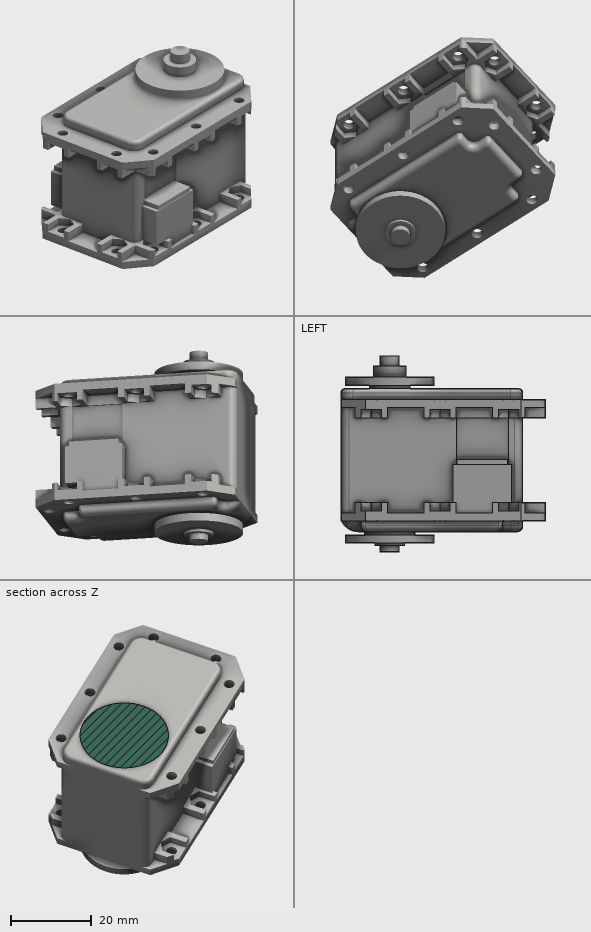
import cadquery as cq
import math


CASE_WIDTH = 24.35
CASE_LENGTH = 44.95
CASE_BACK = 12.05
CASE_FRONT = CASE_BACK - CASE_LENGTH
CASE_CORNER = 2.0

FLANGE_WIDTH = 35.6
FLANGE_LENGTH = 50.6
FLANGE_FRONT = CASE_BACK - FLANGE_LENGTH
FLANGE_CHAMFER_X = 5.14
FLANGE_CHAMFER_Y = 6.0
FLANGE_OUTER_Z = 15.0
PLATE_INNER_Z = 13.0
RIM_INNER_Z = 10.5

HOLE_DIAMETER = 2.7
HOLE_EDGE = 2.75
HOLE_PITCH = 17.0
FIRST_HOLE_FROM_BACK = 7.5
FIRST_HOLE_Y = CASE_BACK - FIRST_HOLE_FROM_BACK
SIDE_HOLE_COUNT = 3
NUT_FLATS = 5.0
NUT_DEPTH = 2.0
RIB_WALL = 1.5
BOSS_HALF = NUT_FLATS / 2 + RIB_WALL
SIDE_HOLE_X = FLANGE_WIDTH / 2 - HOLE_EDGE
FRONT_HOLE_Y = FLANGE_FRONT + HOLE_EDGE
FRONT_HOLE_X = HOLE_PITCH / 2
SIDE_HOLE_YS = [FIRST_HOLE_Y - i * HOLE_PITCH for i in range(SIDE_HOLE_COUNT)]
WINDOW_WIDTH = HOLE_PITCH - 2 * BOSS_HALF

COVER_Z = 17.7
UPPER_COVER_CORNER = 3.0
UPPER_COVER_EDGE = 1.0
LOWER_COVER_EDGE = 1.5
LOWER_COVER_BACK_ROUND = 5.0
LOWER_COVER_FLAT_BACK = 7.5
NOTCH_SIZE = 5.0
NOTCH_INNER_ROUND = 2.0
NOTCH_OUTER_ROUND = 1.0

CONNECTOR_Y = -22.95
CONNECTOR_LENGTH = 14.5
CONNECTOR_HALF_WIDTH = 16.75
CONNECTOR_TOP = -1.0
CONNECTOR_STEP_LENGTH = 12.5
CONNECTOR_STEP_INSET = 0.15
CONNECTOR_STEP_TOP = 0.2
RELIEF_LENGTH = 12.8
RELIEF_DEPTH = 0.6

HORN_DIAMETER = 22.0
SHAFT_DIAMETER = 4.7
UPPER_STACK = [(10.1, 18.5), (HORN_DIAMETER, 20.55), (8.1, 23.3), (SHAFT_DIAMETER, 25.85)]
LOWER_STACK = [(12.45, -18.5), (HORN_DIAMETER, -20.45), (7.4, -21.1), (SHAFT_DIAMETER, -22.65)]


def block(x_min, x_max, y_min, y_max, z_min, z_max):
    size = (x_max - x_min, y_max - y_min, z_max - z_min)
    return cq.Workplane("XY").box(*size, centered=False).translate((x_min, y_min, z_min))


def case_block(z_min, z_max):
    half = CASE_WIDTH / 2
    return block(-half, half, CASE_FRONT, CASE_BACK, z_min, z_max)


def both_sides(right_half):
    """The +X shape together with its mirror image at -X."""
    return right_half.union(right_half.mirror("YZ"))


def upper_flange():
    half_x = FLANGE_WIDTH / 2
    inner_x = half_x - FLANGE_CHAMFER_X
    flange = (
        cq.Workplane("XY", origin=(0, 0, RIM_INNER_Z))
        .moveTo(inner_x, CASE_BACK)
        .lineTo(half_x, CASE_BACK - FLANGE_CHAMFER_Y)
        .lineTo(half_x, FLANGE_FRONT + FLANGE_CHAMFER_Y)
        .lineTo(inner_x, FLANGE_FRONT)
        .lineTo(-inner_x, FLANGE_FRONT)
        .lineTo(-half_x, FLANGE_FRONT + FLANGE_CHAMFER_Y)
        .lineTo(-half_x, CASE_BACK - FLANGE_CHAMFER_Y)
        .lineTo(-inner_x, CASE_BACK)
        .close()
        .extrude(FLANGE_OUTER_Z - RIM_INNER_Z)
    )
    return flange.cut(rim_openings())


def rim_openings():
    """Rim material left out between the nut seats and at the flange corners."""
    case_x = CASE_WIDTH / 2
    half_x = FLANGE_WIDTH / 2
    rim = (RIM_INNER_Z, PLATE_INNER_Z)
    back_corner_y = FIRST_HOLE_Y + BOSS_HALF
    front_corner_y = SIDE_HOLE_YS[-1] - BOSS_HALF
    openings = block(0, half_x, back_corner_y, CASE_BACK, *rim)
    openings = openings.union(
        block(FRONT_HOLE_X + BOSS_HALF, half_x, FLANGE_FRONT, front_corner_y, *rim)
    )
    for hole_y in SIDE_HOLE_YS[:-1]:
        window_back = hole_y - BOSS_HALF
        openings = openings.union(
            block(case_x, half_x, window_back - WINDOW_WIDTH, window_back, *rim)
        )
    front_window = block(-WINDOW_WIDTH / 2, WINDOW_WIDTH / 2, FLANGE_FRONT, CASE_FRONT, *rim)
    return both_sides(openings).union(front_window)


def nut_seat(x, y, outward_angle):
    """Screw hole and hexagonal nut seat that runs out through the flange edge."""
    nut_corners = NUT_FLATS / math.cos(math.pi / 6)
    rim_face = cq.Workplane("XY", origin=(0, 0, RIM_INNER_Z))
    seat = rim_face.polygon(6, nut_corners).extrude(NUT_DEPTH)
    run_out = rim_face.center(HOLE_EDGE, 0).rect(2 * HOLE_EDGE, NUT_FLATS).extrude(NUT_DEPTH)
    hole = rim_face.circle(HOLE_DIAMETER / 2).extrude(FLANGE_OUTER_Z - RIM_INNER_Z)
    cutter = seat.union(run_out).union(hole)
    return cutter.rotate((0, 0, 0), (0, 0, 1), outward_angle).translate((x, y, 0))


def upper_nut_seats():
    seats = nut_seat(FRONT_HOLE_X, FRONT_HOLE_Y, -90)
    for hole_y in SIDE_HOLE_YS:
        seats = seats.union(nut_seat(SIDE_HOLE_X, hole_y, 0))
    return both_sides(seats)


def connectors():
    y_back = CONNECTOR_Y + CONNECTOR_LENGTH / 2
    y_front = CONNECTOR_Y - CONNECTOR_LENGTH / 2
    base = block(0, CONNECTOR_HALF_WIDTH, y_front, y_back, -PLATE_INNER_Z, CONNECTOR_TOP)
    step = block(
        0,
        CONNECTOR_HALF_WIDTH - CONNECTOR_STEP_INSET,
        CONNECTOR_Y - CONNECTOR_STEP_LENGTH / 2,
        CONNECTOR_Y + CONNECTOR_STEP_LENGTH / 2,
        CONNECTOR_TOP,
        CONNECTOR_STEP_TOP,
    )
    return both_sides(base.union(step))


def case_body():
    """Main body with a shallow relief in each side above the connector."""
    body = case_block(-PLATE_INNER_Z, PLATE_INNER_Z).edges("|Z").fillet(CASE_CORNER)
    case_x = CASE_WIDTH / 2
    relief = block(
        case_x - RELIEF_DEPTH,
        case_x,
        CONNECTOR_Y - RELIEF_LENGTH / 2,
        CONNECTOR_Y + RELIEF_LENGTH / 2,
        CONNECTOR_TOP,
        RIM_INNER_Z,
    )
    return body.cut(both_sides(relief))


def upper_cover():
    cover = case_block(PLATE_INNER_Z, COVER_Z).edges("|Z").fillet(UPPER_COVER_CORNER)
    return cover.faces(">Z").edges().fillet(UPPER_COVER_EDGE)


def back_round_waste():
    """Material below the arc that joins the flat underside to the back face of the lower cover."""
    radius = LOWER_COVER_BACK_ROUND
    centre_z = radius - COVER_Z
    end_angle = math.acos((CASE_BACK - LOWER_COVER_FLAT_BACK) / radius)
    middle_angle = (end_angle + math.pi / 2) / 2

    def arc_point(angle):
        return LOWER_COVER_FLAT_BACK + radius * math.cos(angle), centre_z - radius * math.sin(angle)

    return (
        cq.Workplane("YZ")
        .moveTo(LOWER_COVER_FLAT_BACK, -COVER_Z)
        .threePointArc(arc_point(middle_angle), arc_point(end_angle))
        .lineTo(CASE_BACK, -COVER_Z)
        .close()
        .extrude(CASE_WIDTH / 2, both=True)
    )


def round_upright_edge(solid, x, y, radius):
    """Fillet the vertical edge of the solid nearest to (x, y)."""
    return solid.edges("|Z").edges(cq.selectors.NearestToPointSelector((x, y, -COVER_Z))).fillet(radius)


def lower_cover():
    """Cover with a notch at each corner and a large round along its back edge."""
    half = CASE_WIDTH / 2
    inner_x = half - NOTCH_SIZE
    back_y = CASE_BACK - NOTCH_SIZE
    front_y = CASE_FRONT + NOTCH_SIZE
    depth = (-COVER_Z, -PLATE_INNER_Z)
    cover = case_block(*depth)
    back_notch = block(inner_x, half, back_y, CASE_BACK, *depth)
    front_notch = block(inner_x, half, CASE_FRONT, front_y, *depth)
    cover = cover.cut(both_sides(back_notch.union(front_notch)))

    for side in (-1, 1):
        inner_side = side * inner_x
        outer_side = side * half
        cover = round_upright_edge(cover, inner_side, back_y, NOTCH_INNER_ROUND)
        cover = round_upright_edge(cover, inner_side, front_y, NOTCH_INNER_ROUND)
        cover = round_upright_edge(cover, outer_side, back_y, NOTCH_OUTER_ROUND)
        cover = round_upright_edge(cover, outer_side, front_y, NOTCH_OUTER_ROUND)
        cover = round_upright_edge(cover, inner_side, CASE_FRONT, NOTCH_OUTER_ROUND)
    cover = cover.cut(back_round_waste())
    return cover.faces("<Z").edges("not >Y").fillet(LOWER_COVER_EDGE)


def turned_stack(steps, start_z):
    stack = cq.Workplane("XY")
    for diameter, end_z in steps:
        disc = cq.Workplane("XY", origin=(0, 0, start_z)).circle(diameter / 2)
        stack = stack.union(disc.extrude(end_z - start_z))
        start_z = end_z
    return stack


flange = upper_flange()
seats = upper_nut_seats()
result = (
    flange.union(flange.mirror("XY"))
    .union(connectors())
    .cut(seats)
    .cut(seats.mirror("XY"))
    .union(case_body())
    .union(upper_cover())
    .union(lower_cover())
    .union(turned_stack(UPPER_STACK, COVER_Z))
    .union(turned_stack(LOWER_STACK, -COVER_Z))
)